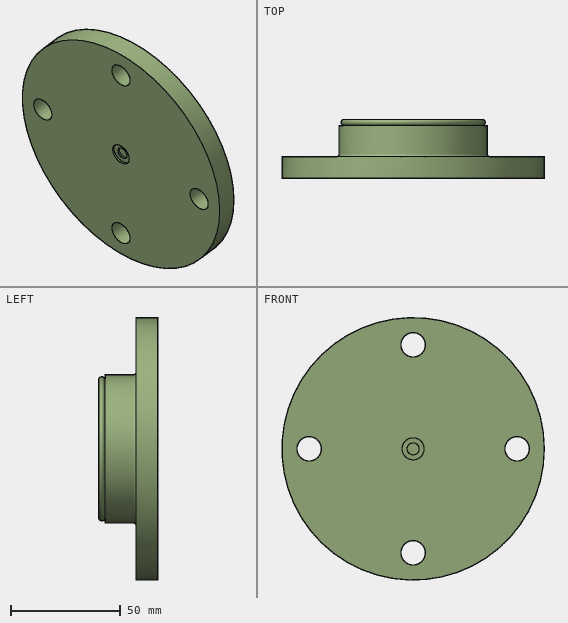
import cadquery as cq

flange_diameter = 120.0
flange_thickness = 10.0
total_depth = 27.0

bolt_hole_diameter = 11.0
bolt_circle_diameter = 95.0
bolt_count = 4

boss_diameter = 67.9
root_fillet_radius = 1.0
rim_height = 2.9
rim_face_diameter = 63.8
rim_bulge_diameter = 66.0

outer_recess_diameter = 10.1
outer_recess_depth = 1.0
inner_recess_diameter = 5.5
inner_recess_depth = 1.0

rim_start = total_depth - rim_height
rim_middle = rim_start + rim_height / 2


def disc(diameter, start, length):
    """Cylinder along +Y, centred on the part axis."""
    return cq.Workplane("XZ", origin=(0, start, 0)).circle(diameter / 2).extrude(-length)


def rounded_rim():
    """Disc whose edge bulges outward as one arc between its two flat faces."""
    face_radius = rim_face_diameter / 2
    return (
        cq.Workplane("XY")
        .moveTo(0, rim_start)
        .lineTo(face_radius, rim_start)
        .threePointArc((rim_bulge_diameter / 2, rim_middle), (face_radius, total_depth))
        .lineTo(0, total_depth)
        .close()
        .revolve(360, (0, 0, 0), (0, 1, 0))
    )


def bolt_holes():
    """Through holes spaced evenly on the bolt circle."""
    return (
        cq.Workplane("XZ")
        .polarArray(bolt_circle_diameter / 2, 0, 360, bolt_count)
        .circle(bolt_hole_diameter / 2)
        .extrude(-flange_thickness)
    )


body = disc(flange_diameter, 0, flange_thickness)
body = body.union(disc(boss_diameter, flange_thickness, rim_start - flange_thickness))
boss_root = body.faces(">Y[-2]").edges("%CIRCLE").edges(cq.selectors.RadiusNthSelector(0))
body = boss_root.fillet(root_fillet_radius)
body = body.union(rounded_rim())

body = body.cut(bolt_holes())
body = body.cut(disc(outer_recess_diameter, 0, outer_recess_depth))
result = body.cut(disc(inner_recess_diameter, outer_recess_depth, inner_recess_depth))